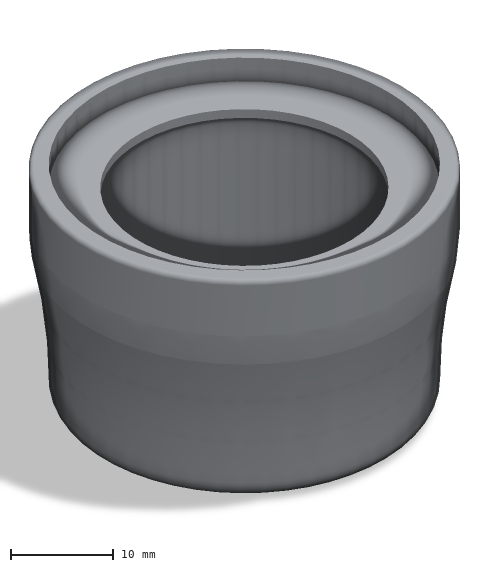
import cadquery as cq
import math

height = 26.75
outer_radius = 21.0
base_radius = 19.05
rim_fillet = 0.5
base_fillet = 2.0

band_bottom = 20.35
shoulder_bottom = 16.93
shoulder_radius = 20.75

recess_radius = 38.1 / 2
recess_depth = 2.75
lip_radius = 28.05 / 2
lip_thickness = 1.0
bore_radius = 30.5 / 2


def make_body():
    """Revolve the solid outer shape about Z, then round the top edge."""
    flank_chord_angle = math.atan2(shoulder_radius - base_radius, shoulder_bottom - base_fillet)
    flank_lean = 2 * flank_chord_angle
    profile = (
        cq.Workplane("XZ")
        .lineTo(base_radius - base_fillet, 0)
        .radiusArc((base_radius, base_fillet), -base_fillet)
        .tangentArcPoint((shoulder_radius, shoulder_bottom), relative=False)
        .spline(
            [(outer_radius, band_bottom)],
            tangents=[(math.sin(flank_lean), math.cos(flank_lean)), (0, 1)],
            includeCurrent=True,
        )
        .lineTo(outer_radius, height)
        .lineTo(0, height)
        .close()
    )
    body = profile.revolve(360, (0, 0, 0), (0, 1, 0))
    return body.faces(">Z").edges().fillet(rim_fillet)


def make_cylinder(radius, bottom, top):
    """Cylinder on the Z axis between two heights."""
    return cq.Workplane("XY").workplane(offset=bottom).circle(radius).extrude(top - bottom)


recess_floor = height - recess_depth
lip_bottom = recess_floor - lip_thickness

result = (
    make_body()
    .cut(make_cylinder(recess_radius, recess_floor, height))
    .cut(make_cylinder(lip_radius, lip_bottom, recess_floor))
    .cut(make_cylinder(bore_radius, 0, lip_bottom))
)